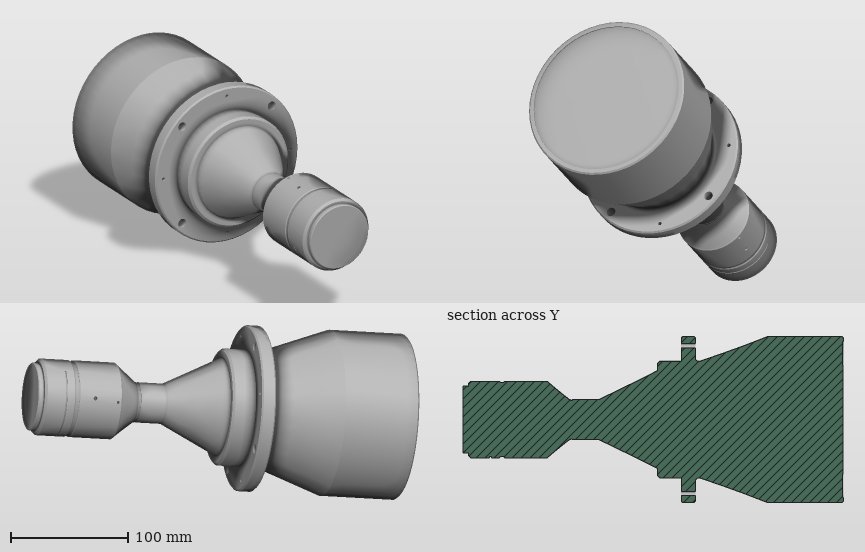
import cadquery as cq


barrel_diameter = 142.0
barrel_radius = barrel_diameter / 2
barrel_length = 65.0
edge_chamfer = 1.3
glass_radius = 66.2
glass_recess = 1.0
dome_height = 0.5

neck_radius = 50.0
neck_start = 122.5
neck_fillet = 2.5
flange_start = 126.3
flange_thickness = 12.5
flange_end = flange_start + flange_thickness
spigot_end = 158.8
spigot_chamfer = 2.0

cone_radius = 42.0
waist_radius = 17.2
waist_start = 208.8
waist_end = 233.8
waist_groove_start = 231.2
waist_groove_width = 1.5
waist_groove_depth = 0.5

housing_radius = 32.8
housing_start = 251.5
housing_end = 319.8
housing_front_chamfer = 1.0
housing_rear_chamfer = 2.0
groove_start = 289.0
groove_width = 4.5
groove_depth = 1.0
groove_chamfer = 0.5
ring_radius = 29.0
ring_chamfer = 0.5
total_length = 324.7

hole_circle_radius = 63.0
mounting_hole_diameter = 7.8
small_hole_diameter = 3.2
holes_of_each_size = 4

screws_per_ring = 3
front_screw_x = 255.5
front_screw_angle = 16
front_screw_diameter = 2.5
rear_screw_x = 275.7
rear_screw_angle = 20
rear_screw_diameter = 3.2
screw_hole_depth = 3.2

slit_x = 301.0
slit_width = 1.3
slit_depth = 1.0
slit_start_angle = 198
slit_sweep = 195


def turned_body():
    """Revolve the half profile, drawn as (x, radius), about the X axis."""
    glass_edge_x = glass_recess
    glass_apex_x = glass_recess - dome_height
    arc_middle = (glass_apex_x + dome_height / 4, glass_radius / 2)
    groove_end = groove_start + groove_width
    waist_groove_end = waist_groove_start + waist_groove_width
    profile = (
        cq.Workplane("XY")
        .moveTo(glass_apex_x, 0)
        .threePointArc(arc_middle, (glass_edge_x, glass_radius))
        .lineTo(0, glass_radius)
        .lineTo(0, barrel_radius - edge_chamfer)
        .lineTo(edge_chamfer, barrel_radius)
        .lineTo(barrel_length, barrel_radius)
        .lineTo(neck_start, neck_radius)
        .lineTo(flange_start - neck_fillet, neck_radius)
        .radiusArc((flange_start, neck_radius + neck_fillet), -neck_fillet)
        .lineTo(flange_start, barrel_radius - edge_chamfer)
        .lineTo(flange_start + edge_chamfer, barrel_radius)
        .lineTo(flange_end - edge_chamfer, barrel_radius)
        .lineTo(flange_end, barrel_radius - edge_chamfer)
        .lineTo(flange_end, neck_radius)
        .lineTo(spigot_end - spigot_chamfer, neck_radius)
        .lineTo(spigot_end, neck_radius - spigot_chamfer)
        .lineTo(spigot_end, cone_radius)
        .lineTo(waist_start, waist_radius)
        .lineTo(waist_groove_start, waist_radius)
        .lineTo(waist_groove_start, waist_radius - waist_groove_depth)
        .lineTo(waist_groove_end, waist_radius - waist_groove_depth)
        .lineTo(waist_groove_end, waist_radius)
        .lineTo(waist_end, waist_radius)
        .lineTo(housing_start, housing_radius - housing_front_chamfer)
        .lineTo(housing_start + housing_front_chamfer, housing_radius)
        .lineTo(groove_start, housing_radius)
        .lineTo(groove_start + groove_chamfer, housing_radius - groove_chamfer)
        .lineTo(groove_start + groove_chamfer, housing_radius - groove_depth)
        .lineTo(groove_end - groove_chamfer, housing_radius - groove_depth)
        .lineTo(groove_end - groove_chamfer, housing_radius - groove_chamfer)
        .lineTo(groove_end, housing_radius)
        .lineTo(housing_end - housing_rear_chamfer, housing_radius)
        .lineTo(housing_end, housing_radius - housing_rear_chamfer)
        .lineTo(housing_end, ring_radius - ring_chamfer)
        .lineTo(housing_end + ring_chamfer, ring_radius)
        .lineTo(total_length - ring_chamfer, ring_radius)
        .lineTo(total_length, ring_radius - ring_chamfer)
        .lineTo(total_length, 0)
        .close()
    )
    return profile.revolve(360, (0, 0, 0), (1, 0, 0))


def flange_holes(diameter, first_angle):
    """Cutters for one evenly spaced set of through holes in the flange."""
    return (
        cq.Workplane("YZ", origin=(flange_start, 0, 0))
        .polarArray(hole_circle_radius, first_angle, 360, holes_of_each_size)
        .circle(diameter / 2)
        .extrude(flange_thickness)
    )


def screw_holes(x, first_angle, diameter):
    """Cutters for one ring of radial blind holes in the rear housing."""
    hole = (
        cq.Workplane("XY", origin=(x, 0, housing_radius - screw_hole_depth))
        .circle(diameter / 2)
        .extrude(2 * screw_hole_depth)
    )
    cutters = cq.Workplane("XY")
    for index in range(screws_per_ring):
        angle = first_angle + index * 360 / screws_per_ring
        cutters = cutters.add(hole.rotate((0, 0, 0), (1, 0, 0), angle))
    return cutters.combine()


def partial_slit():
    """Cutter for the narrow slit that follows part of the housing surface."""
    cutter = (
        cq.Workplane("XY", origin=(slit_x, housing_radius, 0))
        .rect(slit_width, 2 * slit_depth)
        .revolve(slit_sweep, (0, -housing_radius, 0), (1, -housing_radius, 0))
    )
    return cutter.rotate((0, 0, 0), (1, 0, 0), slit_start_angle)


result = turned_body()
result = result.cut(flange_holes(mounting_hole_diameter, 45))
result = result.cut(flange_holes(small_hole_diameter, 0))
result = result.cut(screw_holes(front_screw_x, front_screw_angle, front_screw_diameter))
result = result.cut(screw_holes(rear_screw_x, rear_screw_angle, rear_screw_diameter))
result = result.cut(partial_slit())